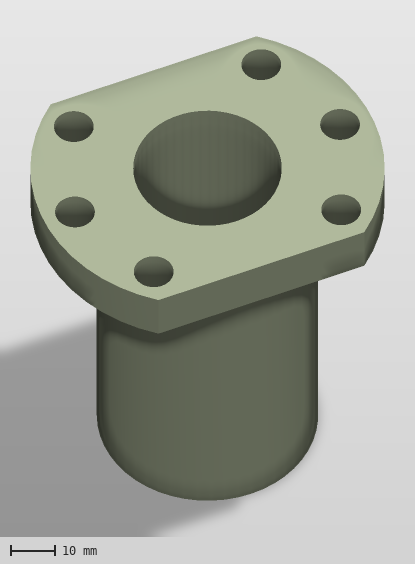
import cadquery as cq

total_height = 88.0
flange_diameter = 80.0
flange_width = 62.0
flange_thickness = 12.0
body_diameter = 50.0
bore_diameter = 33.5

hole_diameter = 9.0
hole_circle_radius = 65.0 / 2
hole_spacing_angle = 45
holes_per_end = 3
end_directions = (90, 270)

flange_bottom = total_height - flange_thickness


def make_body():
    """Cylindrical sleeve standing on the XY plane."""
    return cq.Workplane("XY").circle(body_diameter / 2).extrude(total_height)


def make_flange():
    """Round flange trimmed by two flats facing +X and -X."""
    disc = (
        cq.Workplane("XY", origin=(0, 0, flange_bottom))
        .circle(flange_diameter / 2)
        .extrude(flange_thickness)
    )
    trim = (
        cq.Workplane("XY", origin=(0, 0, flange_bottom))
        .rect(flange_width, flange_diameter)
        .extrude(flange_thickness)
    )
    return disc.intersect(trim)


def make_end_holes(direction):
    """Row of through holes centred on one rounded end of the flange."""
    start_angle = direction - hole_spacing_angle * (holes_per_end - 1) / 2
    return (
        cq.Workplane("XY", origin=(0, 0, flange_bottom))
        .polarArray(
            hole_circle_radius, start_angle, hole_spacing_angle, holes_per_end, fill=False
        )
        .circle(hole_diameter / 2)
        .extrude(flange_thickness)
    )


bore = cq.Workplane("XY").circle(bore_diameter / 2).extrude(total_height)

result = make_body().union(make_flange()).cut(bore)
for end_direction in end_directions:
    result = result.cut(make_end_holes(end_direction))